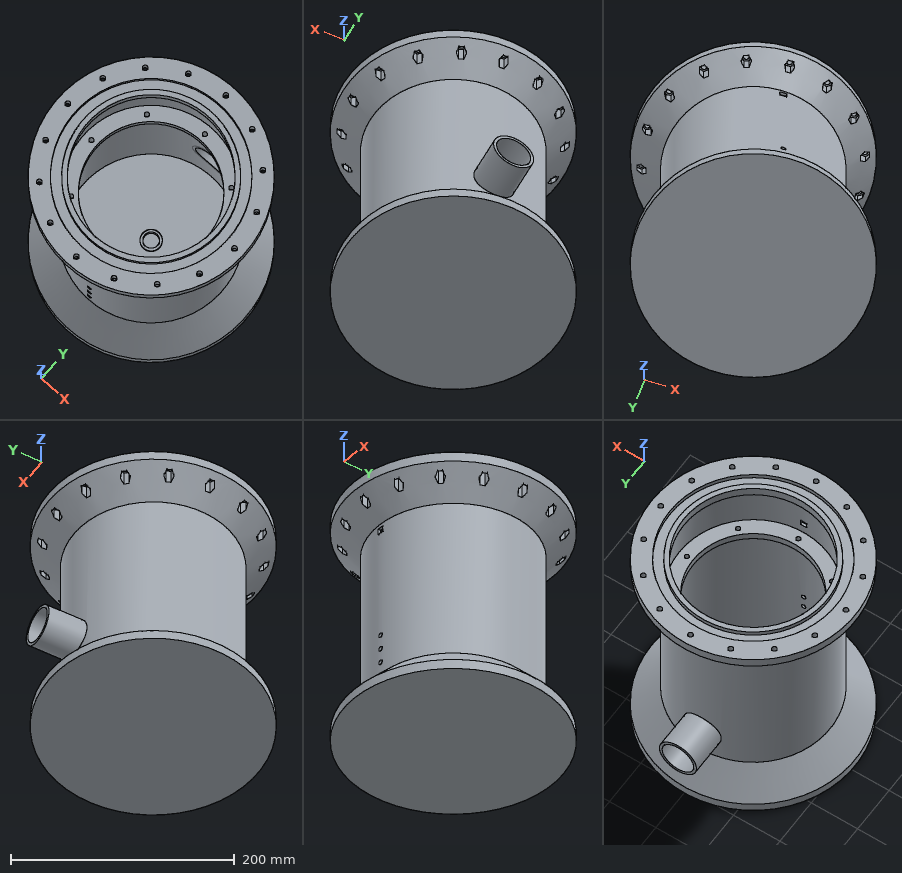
import cadquery as cq
import math

HEIGHT = 240.0
FLANGE_RADIUS = 110.0
FLANGE_THICKNESS = 10.0
TUBE_RADIUS = 83.0
WALL = 3.0
BORE_RADIUS = TUBE_RADIUS - WALL
FLARE_HEIGHT = FLANGE_RADIUS - TUBE_RADIUS
FLOOR_THICKNESS = 10.0

LIP_RADIUS = 75.0
LIP_THICKNESS = 10.0
LIP_TAPER = BORE_RADIUS - LIP_RADIUS
GROOVE_INNER_RADIUS = 80.0
GROOVE_OUTER_RADIUS = 90.0
GROOVE_DEPTH = 5.0

SHELF_RADIUS = 65.0
SHELF_TOP = HEIGHT - 57.0
SHELF_THICKNESS = 8.0
SHELF_TAPER = BORE_RADIUS - SHELF_RADIUS

FLANGE_HOLE_DIAMETER = 5.0
FLANGE_BOLT_COUNT = 16
FLANGE_BOLT_RADIUS = 100.0
SHELF_HOLE_DIAMETER = 4.5
SHELF_BOLT_COUNT = 8
SHELF_BOLT_RADIUS = 71.75

NUT_ACROSS_FLATS = 8.0
NUT_SEAT_DEPTH = 10.0

PORT_RADIUS = 20.0
PORT_BORE_RADIUS = PORT_RADIUS - WALL
PORT_END = 120.0
PORT_Z = 67.5

VENT_DIAMETER = 4.5
VENT_HEIGHTS = (50.0, 65.0, 80.0)
WINDOW_WIDTH = 6.5
WINDOW_HEIGHT = 6.0
WINDOW_Z = HEIGHT - 43.75

BOSS_RADIUS = 10.0
BOSS_HEIGHT = 2.0
BOSS_HOLE_RADIUS = 7.5
BOSS_HOLE_DEPTH = 5.0


def make_shell():
    """Revolve the half section of the closed-bottom housing about Z."""
    lip_bottom = HEIGHT - LIP_THICKNESS
    shelf_bottom = SHELF_TOP - SHELF_THICKNESS
    flare_start = FLANGE_THICKNESS + FLARE_HEIGHT
    section = [
        (0, 0),
        (FLANGE_RADIUS, 0),
        (FLANGE_RADIUS, FLANGE_THICKNESS),
        (TUBE_RADIUS, flare_start),
        (TUBE_RADIUS, HEIGHT - flare_start),
        (FLANGE_RADIUS, HEIGHT - FLANGE_THICKNESS),
        (FLANGE_RADIUS, HEIGHT),
        (LIP_RADIUS, HEIGHT),
        (LIP_RADIUS, lip_bottom),
        (BORE_RADIUS, lip_bottom - LIP_TAPER),
        (BORE_RADIUS, SHELF_TOP),
        (SHELF_RADIUS, SHELF_TOP),
        (SHELF_RADIUS, shelf_bottom),
        (BORE_RADIUS, shelf_bottom - SHELF_TAPER),
        (BORE_RADIUS, FLOOR_THICKNESS),
        (0, FLOOR_THICKNESS),
    ]
    return cq.Workplane("XZ").polyline(section).close().revolve(360, (0, 0, 0), (0, 1, 0))


def rim_groove():
    """Ring cut around the lip in the top face."""
    return (
        cq.Workplane("XY", origin=(0, 0, HEIGHT))
        .circle(GROOVE_OUTER_RADIUS)
        .circle(GROOVE_INNER_RADIUS)
        .extrude(-GROOVE_DEPTH)
    )


def bolt_circle(top, depth, radius, count, diameter):
    """Evenly spaced vertical pins reaching down from the given height."""
    return (
        cq.Workplane("XY", origin=(0, 0, top))
        .polarArray(radius, 0, 360, count)
        .circle(diameter / 2)
        .extrude(-depth)
    )


def nut_pockets():
    """Hexagonal prisms on the flange bolt circle, each with a flat facing the part axis."""
    across_corners = NUT_ACROSS_FLATS / math.cos(math.pi / 6)
    step = 360 / FLANGE_BOLT_COUNT
    flare_bottom = HEIGHT - FLANGE_THICKNESS - FLARE_HEIGHT
    pocket = (
        cq.Workplane("XY", origin=(0, -FLANGE_BOLT_RADIUS, flare_bottom))
        .polygon(6, across_corners)
        .extrude(HEIGHT - NUT_SEAT_DEPTH - flare_bottom)
    )
    pockets = cq.Workplane("XY")
    for index in range(FLANGE_BOLT_COUNT):
        pockets = pockets.add(pocket.rotate((0, 0, 0), (0, 0, 1), index * step))
    return pockets.combine()


def y_cylinder(radius, z, start, end):
    """Cylinder along Y at height z."""
    return cq.Workplane("XZ", origin=(0, start, z)).circle(radius).extrude(start - end)


def add_port(body):
    """Side pipe, opened through the tube wall."""
    pipe = y_cylinder(PORT_RADIUS, PORT_Z, 0, PORT_END)
    tube_core = cq.Workplane("XY").circle(BORE_RADIUS).extrude(HEIGHT)
    bore = y_cylinder(PORT_BORE_RADIUS, PORT_Z, 0, PORT_END)
    return body.union(pipe.cut(tube_core)).cut(bore)


def wall_openings():
    """Three round vents and a rectangular window through the -Y wall."""
    openings = (
        cq.Workplane("XY")
        .box(WINDOW_WIDTH, TUBE_RADIUS, WINDOW_HEIGHT)
        .translate((0, -TUBE_RADIUS, WINDOW_Z))
    )
    for z in VENT_HEIGHTS:
        openings = openings.union(y_cylinder(VENT_DIAMETER / 2, z, -TUBE_RADIUS - WALL, 0))
    return openings


def add_floor_boss(body):
    """Low boss in the middle of the floor with a blind hole."""
    boss_top = FLOOR_THICKNESS + BOSS_HEIGHT
    boss = cq.Workplane("XY", origin=(0, 0, FLOOR_THICKNESS)).circle(BOSS_RADIUS).extrude(BOSS_HEIGHT)
    hole = cq.Workplane("XY", origin=(0, 0, boss_top)).circle(BOSS_HOLE_RADIUS).extrude(-BOSS_HOLE_DEPTH)
    return body.union(boss).cut(hole)


flange_holes = bolt_circle(
    HEIGHT,
    FLANGE_THICKNESS + FLARE_HEIGHT,
    FLANGE_BOLT_RADIUS,
    FLANGE_BOLT_COUNT,
    FLANGE_HOLE_DIAMETER,
)
shelf_holes = bolt_circle(
    SHELF_TOP,
    SHELF_THICKNESS + SHELF_TAPER,
    SHELF_BOLT_RADIUS,
    SHELF_BOLT_COUNT,
    SHELF_HOLE_DIAMETER,
)

result = make_shell().cut(rim_groove())
result = result.cut(flange_holes).cut(nut_pockets())
result = result.cut(shelf_holes)
result = add_port(result)
result = result.cut(wall_openings())
result = add_floor_boss(result)